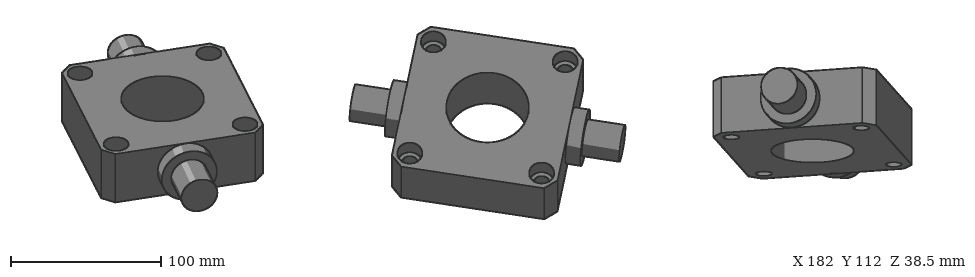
import cadquery as cq

block_width = 112.0
block_height = 38.5
corner_chamfer = 7.6
bore_diameter = 55.0

hole_spacing = 89.0
hole_diameter = 10.5
counterbore_diameter = 16.5
counterbore_depth = 12.0

overall_length = 182.0
collar_diameter = 38.0
collar_length = 10.0
pin_diameter = 25.0


def make_block():
    """Square block, centred on the origin, with chamfered vertical edges."""
    block = cq.Workplane("XY").box(block_width, block_width, block_height)
    return block.edges("|Z").chamfer(corner_chamfer)


def make_trunnions():
    """Stepped shaft along X whose ends stand out of both sides of the block."""
    collar_span = block_width + 2 * collar_length
    collars = cq.Workplane("YZ").circle(collar_diameter / 2).extrude(collar_span / 2, both=True)
    pins = cq.Workplane("YZ").circle(pin_diameter / 2).extrude(overall_length / 2, both=True)
    return collars.union(pins)


def cut_holes(body):
    """Central through bore and a counterbored hole near each corner."""
    body = body.faces(">Z").workplane(origin=(0, 0, 0)).hole(bore_diameter)
    return (
        body.faces(">Z")
        .workplane(origin=(0, 0, 0))
        .rect(hole_spacing, hole_spacing, forConstruction=True)
        .vertices()
        .cboreHole(hole_diameter, counterbore_diameter, counterbore_depth)
    )


result = cut_holes(make_block().union(make_trunnions()))